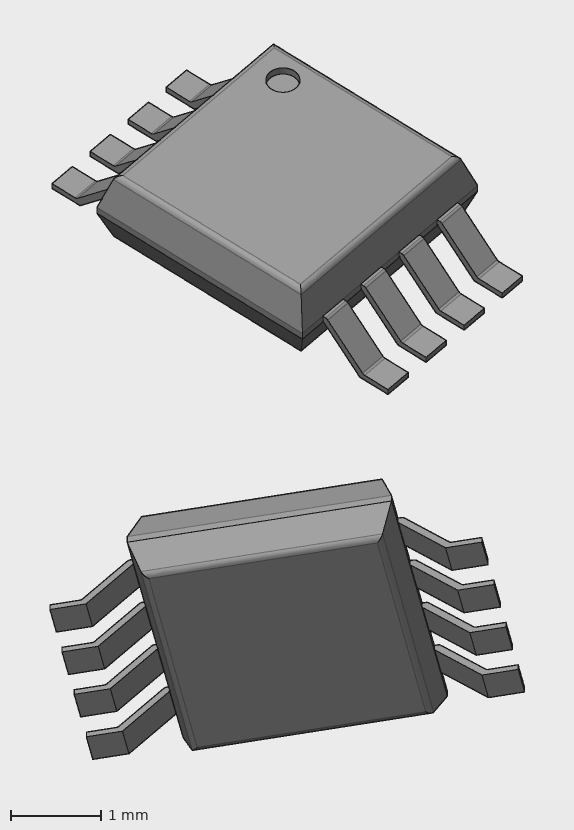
import cadquery as cq
import math

overall_length = 4.9
overall_height = 1.1
standoff = 0.095

body_width = 3.0
band_bottom = 0.52
band_top = 0.612
taper_inset = 0.145
edge_radius = 0.08

marker_diameter = 0.375
marker_depth = 0.1
marker_x = -0.895

leads_per_side = 4
lead_pitch = 0.65
lead_width = 0.35
lead_thickness = 0.08
shank_thickness = 0.095
lead_top = band_top
foot_length = 0.36
bend_angle = 45.0
bend_radius = 0.045

first_lead_y = lead_pitch * (leads_per_side - 1) / 2


def tapered_half(band_z, end_z):
    """Frustum from the waist band at band_z to the narrower flat face at end_z."""
    end_width = body_width - 2 * taper_inset
    return (
        cq.Workplane("XY", origin=(0, 0, band_z))
        .rect(body_width, body_width)
        .workplane(offset=end_z - band_z)
        .rect(end_width, end_width)
        .loft(ruled=True)
    )


def make_housing():
    """Square moulded body with rounded top and bottom rims and a marker recess."""
    band = (
        cq.Workplane("XY", origin=(0, 0, band_bottom))
        .rect(body_width, body_width)
        .extrude(band_top - band_bottom)
    )
    upper_half = tapered_half(band_top, overall_height)
    lower_half = tapered_half(band_bottom, standoff)
    housing = band.union(upper_half).union(lower_half)
    housing = housing.faces(">Z or <Z").edges().fillet(edge_radius)

    marker = (
        cq.Workplane("XY", origin=(marker_x, first_lead_y, overall_height - marker_depth))
        .circle(marker_diameter / 2)
        .extrude(marker_depth)
    )
    return housing.cut(marker)


def make_lead(y_center):
    """One lead on the -X side: flat foot, sloped shank and short shoulder against the body."""
    toe_x = -overall_length / 2
    body_x = -body_width / 2
    angle = math.radians(bend_angle)
    rise = lead_top - lead_thickness
    run = rise / math.tan(angle)
    underside_shift = shank_thickness / math.sin(angle) - lead_thickness / math.tan(angle)
    heel_x = toe_x + foot_length
    shoulder_x = heel_x + run

    outline = [
        (toe_x, 0),
        (heel_x + underside_shift, 0),
        (shoulder_x + underside_shift, rise),
        (body_x, rise),
        (body_x, lead_top),
        (shoulder_x, lead_top),
        (heel_x, lead_thickness),
        (toe_x, lead_thickness),
    ]
    lead = (
        cq.Workplane("XZ", origin=(0, y_center + lead_width / 2, 0))
        .polyline(outline)
        .close()
        .extrude(lead_width)
    )
    top_bends = [(shoulder_x, lead_top), (heel_x, lead_thickness)]
    for x, z in top_bends:
        bend_edge = cq.selectors.NearestToPointSelector((x, y_center, z))
        lead = lead.edges(bend_edge).fillet(bend_radius)
    return lead


housing = make_housing()

leads = []
for index in range(leads_per_side):
    left_lead = make_lead(first_lead_y - index * lead_pitch)
    right_lead = left_lead.mirror("YZ")
    leads.append(left_lead.val())
    leads.append(right_lead.val())

result = cq.Compound.makeCompound([housing.val(), *leads])